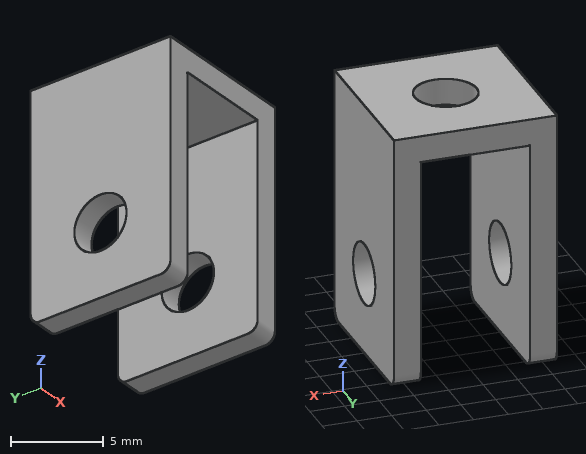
import cadquery as cq

width = 9.4
depth = 9.53
height = 14.86

wall = 1.56
hole_diameter = 3.55
cross_hole_height = depth / 2
corner_radius = 0.65


def clevis_body():
    """Block with rounded lower corners, opened from below into a U."""
    block = (
        cq.Workplane("XY")
        .box(width, depth, height, centered=(True, True, False))
        .edges("|X and <Z")
        .fillet(corner_radius)
    )
    channel = cq.Workplane("XY").box(
        width - 2 * wall, depth, height - wall, centered=(True, True, False)
    )
    return block.cut(channel)


def top_hole():
    """Vertical hole through the middle of the bridge."""
    return (
        cq.Workplane("XY")
        .workplane(offset=height - wall)
        .circle(hole_diameter / 2)
        .extrude(wall)
    )


def cross_hole():
    """Pin hole along X through both legs."""
    return (
        cq.Workplane("YZ")
        .center(0, cross_hole_height)
        .circle(hole_diameter / 2)
        .extrude(width / 2, both=True)
    )


result = clevis_body().cut(top_hole()).cut(cross_hole())